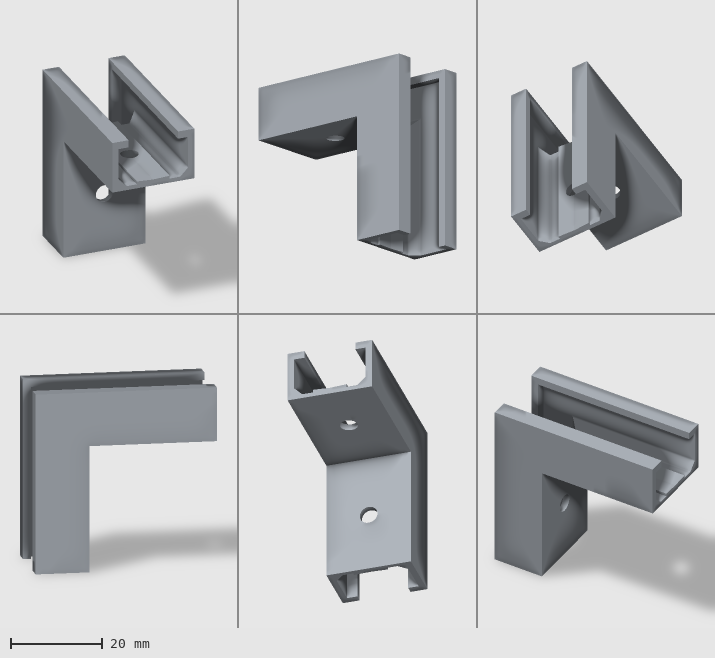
import cadquery as cq
import math

leg_length = 40.1
width = 19.3
leg_depth = 11.95

mouth_half_width = 5.8
lip_thickness = 1.72
cavity_half_width = 8.18
floor_depth = 11.0
bevel_size = 1.9
bevel_fillet = 0.52

pad_half_width = 3.85
pad_edge_depth = 10.3
pad_center_depth = 10.5

hole_diameter = 4.0
hole_distance = 26.35


def make_body():
    """Plain L-shaped block with its outer corner at X = 0, Z = leg_length."""
    inner_corner_z = leg_length - leg_depth
    outline = [
        (0, 0),
        (0, leg_length),
        (leg_length, leg_length),
        (leg_length, inner_corner_z),
        (leg_depth, inner_corner_z),
        (leg_depth, 0),
    ]
    return cq.Workplane("XZ").polyline(outline).close().extrude(width / 2, both=True)


def make_slot_profile():
    """Slot outline at the foot of the vertical leg: one half drawn, then mirrored about X."""
    bevel_start_depth = floor_depth - bevel_size
    bevel_end_y = cavity_half_width - bevel_size
    setback = bevel_fillet * math.tan(math.radians(45 / 2))
    diagonal_setback = setback * math.cos(math.radians(45))
    upper_arc_end = (bevel_start_depth + diagonal_setback, cavity_half_width - diagonal_setback)
    return (
        cq.Workplane("XY")
        .moveTo(0, 0)
        .lineTo(0, mouth_half_width)
        .lineTo(lip_thickness, mouth_half_width)
        .lineTo(lip_thickness, cavity_half_width)
        .lineTo(bevel_start_depth - setback, cavity_half_width)
        .radiusArc(upper_arc_end, bevel_fillet)
        .lineTo(floor_depth - diagonal_setback, bevel_end_y + diagonal_setback)
        .radiusArc((floor_depth, bevel_end_y - setback), bevel_fillet)
        .lineTo(floor_depth, pad_half_width)
        .lineTo(pad_edge_depth, pad_half_width)
        .lineTo(pad_center_depth, 0)
        .mirrorX()
    )


def make_slot():
    """Slot up the vertical leg and along the horizontal one, mitered at the corner."""
    path = cq.Workplane("XZ").polyline([(0, 0), (0, leg_length), (leg_length, leg_length)])
    return make_slot_profile().sweep(path, transition="right")


def make_screw_holes():
    """One hole across each leg, centered on the slot."""
    hole_radius = hole_diameter / 2
    through_horizontal_leg = (
        cq.Workplane("XY").center(hole_distance, 0).circle(hole_radius).extrude(leg_length)
    )
    through_vertical_leg = (
        cq.Workplane("YZ").center(0, leg_length - hole_distance).circle(hole_radius).extrude(leg_length)
    )
    return through_horizontal_leg.union(through_vertical_leg)


result = make_body().cut(make_slot()).cut(make_screw_holes())